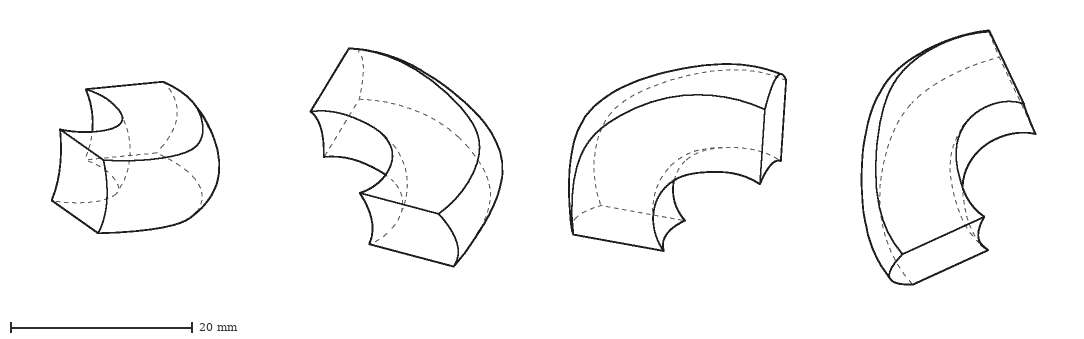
import cadquery as cq
import math

tilt = -21.6
first_end_angle = -44.3
sweep_angle = 90.0
thickness = 8.43

outer_wall = (
    (20.88, 22.05, 23.0, 22.48, 21.7, 20.7, 19.4),
    (21.9, 23.53, 24.9, 24.18, 23.08, 22.42, 21.5),
    (20.22, 22.07, 22.85, 21.83, 20.85, 20.22, 19.25),
)
inner_wall = (
    (10.45, 12.27, 13.2, 13.07, 12.15, 11.32, 10.2),
    (11.38, 13.3, 14.18, 13.95, 12.8, 11.82, 10.72),
    (10.48, 12.48, 13.15, 12.6, 11.45, 10.45, 9.3),
)


def wall_points(distances):
    """Points of one wall at one level, spread evenly over the sweep."""
    step = math.radians(sweep_angle) / (len(distances) - 1)
    start = math.radians(first_end_angle)
    return [
        (r * math.cos(start + i * step), r * math.sin(start + i * step))
        for i, r in enumerate(distances)
    ]


def draw_level(work, outer_distances, inner_distances):
    """Closed outline of the ring slice: two curved walls and two straight ends."""
    outer = wall_points(outer_distances)
    inner = wall_points(inner_distances)
    return (
        work.moveTo(*inner[0])
        .lineTo(*outer[0])
        .spline(outer[1:], includeCurrent=True)
        .lineTo(*inner[-1])
        .spline(inner[-2::-1], includeCurrent=True)
        .close()
    )


def ring_slice():
    """Blend the three levels so both walls bow outward at mid thickness."""
    level_step = thickness / (len(outer_wall) - 1)
    work = cq.Workplane("XY").workplane(offset=-thickness / 2)
    for level, (outer, inner) in enumerate(zip(outer_wall, inner_wall)):
        if level > 0:
            work = work.workplane(offset=level_step)
        work = draw_level(work, outer, inner)
    return work.loft(ruled=False, combine=True)


result = ring_slice().rotate((0, 0, 0), (1, 0, 0), tilt)